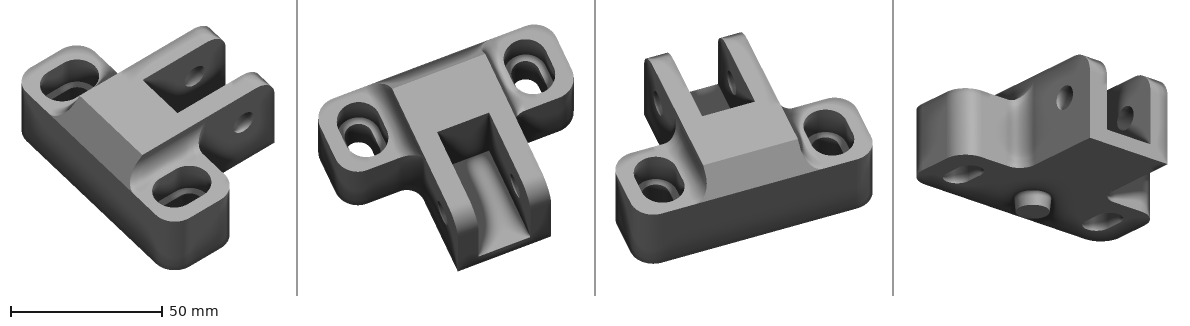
import cadquery as cq

base_width = 85.0
base_depth = 29.0
base_height = 24.1
corner_radius = 8.0

body_width = 33.5
body_depth = 64.0
body_height = 32.5
blend_radius = 6.0
ear_radius = 8.0

gap_width = 18.7
gap_floor = 5.1

hinge_hole_diameter = 8.5
hinge_hole_y = 51.0
hinge_hole_z = 19.0

slot_spacing = 60.0
slot_width = 9.5
slot_length = 16.1
recess_width = 14.6
recess_length = 21.0
recess_depth = 11.0

pin_top_diameter = 12.4
pin_end_diameter = 11.3
pin_length = 5.0
pin_x = 0.2

base_center_y = base_depth / 2
half_body = body_width / 2
half_base = base_width / 2
front_bevel = body_height - base_height


def stepped_outline(plane, start, shoulder, end):
    """Wide-then-narrow outline with a concave blend on each side of the narrow part."""
    return (
        cq.Workplane(plane)
        .moveTo(-half_base, start)
        .lineTo(half_base, start)
        .lineTo(half_base, shoulder)
        .lineTo(half_body + blend_radius, shoulder)
        .radiusArc((half_body, shoulder + blend_radius), blend_radius)
        .lineTo(half_body, end)
        .lineTo(-half_body, end)
        .lineTo(-half_body, shoulder + blend_radius)
        .radiusArc((-half_body - blend_radius, shoulder), blend_radius)
        .lineTo(-half_base, shoulder)
        .close()
    )


def make_block():
    """Intersect the plan, front and side prisms so the blends meet in a mitre."""
    plan = stepped_outline("XY", 0, base_depth, body_depth).extrude(body_height)
    wing_corners = cq.selectors.BoxSelector(
        (-half_base - 0.85, -0.85, 0), (-half_base + 0.85, base_depth + 0.85, body_height)
    ) + cq.selectors.BoxSelector(
        (half_base - 0.85, -0.85, 0), (half_base + 0.85, base_depth + 0.85, body_height)
    )
    plan = plan.edges("|Z").edges(wing_corners).fillet(corner_radius)

    front = stepped_outline("XZ", 0, base_height, body_height).extrude(-body_depth)

    side = (
        cq.Workplane("YZ")
        .moveTo(0, 0)
        .lineTo(body_depth, 0)
        .lineTo(body_depth, body_height - ear_radius)
        .radiusArc((body_depth - ear_radius, body_height), -ear_radius)
        .lineTo(front_bevel, body_height)
        .lineTo(0, base_height)
        .close()
        .extrude(half_base, both=True)
    )
    return plan.intersect(front).intersect(side)


def cut_hinge(block):
    """Open the gap between the ears and drill the hinge hole across them."""
    gap = cq.Workplane("XY").box(gap_width, body_depth, body_height, centered=(True, False, False))
    gap = gap.translate((0, base_depth, gap_floor))
    hole = (
        cq.Workplane("YZ")
        .center(hinge_hole_y, hinge_hole_z)
        .circle(hinge_hole_diameter / 2)
        .extrude(half_body, both=True)
    )
    return block.cut(gap).cut(hole)


def upright_slot(x, length, width, bottom):
    """Slot-shaped cutter running along Y, from the given height past the top of the base."""
    return (
        cq.Workplane("XY", origin=(x, base_center_y, bottom))
        .slot2D(length, width, 90)
        .extrude(body_height - bottom)
    )


def cut_mounting_slots(block):
    """Cut a through slot with a recess for the screw head in each wing."""
    for x in (-slot_spacing / 2, slot_spacing / 2):
        block = block.cut(upright_slot(x, slot_length, slot_width, 0))
        block = block.cut(upright_slot(x, recess_length, recess_width, base_height - recess_depth))
    return block


def make_pin():
    """Tapered locating pin hanging from the underside."""
    return (
        cq.Workplane("XY", origin=(pin_x, base_center_y, 0))
        .circle(pin_top_diameter / 2)
        .workplane(offset=-pin_length)
        .circle(pin_end_diameter / 2)
        .loft(ruled=True)
    )


result = cut_mounting_slots(cut_hinge(make_block())).union(make_pin())